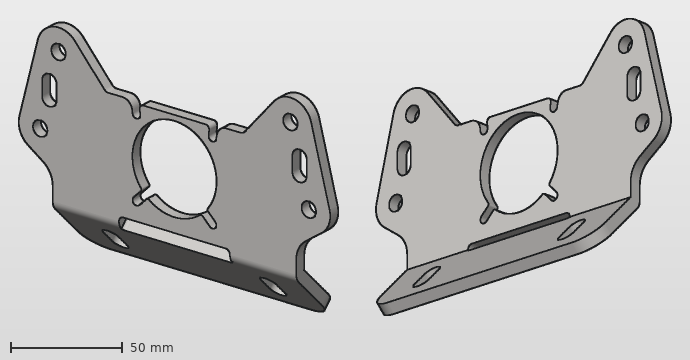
import cadquery as cq
import math

overall_width = 174.0
overall_height = 115.7
overall_depth = 31.8
thickness = 6.1
bend_angle = 45.0

ear_radius = 12.0
ear_hole_diameter = 8.0
upper_hole_x = 64.7
upper_hole_z = 40.0
lower_hole_x = overall_width / 2 - ear_radius
lower_hole_z = 0.0
ear_slot_length = 16.0
inner_slope_angle = 49.5
lower_slope_angle = 35.0
inner_slope_fillet = 3.0
neck_fillet = 12.5

body_half_width = 68.0
shoulder_z = 27.5
tab_z = 26.5
bore_radius = 23.5

mount_offset = 21.2
mount_slot_width = 4.3
notch_tilt = 7.0
shoulder_fillet = 5.4
tab_fillet = 2.1
bore_slot_fillet = 1.0

sin_bend = math.sin(math.radians(bend_angle))
cos_bend = math.cos(math.radians(bend_angle))
flange_length = (overall_depth - thickness) / sin_bend
bend_z = upper_hole_z + ear_radius - overall_height + flange_length * cos_bend + thickness * sin_bend
flange_corner_radius = 12.0
flange_slot_x = 44.0
flange_slot_width = 8.5
flange_slot_length = 18.1
flange_slot_distance = 18.5

relief_half_width = 31.0
relief_corner = 2.5
relief_top = 2.5
relief_flange_depth = 1.0

plate_plane = cq.Plane(origin=(0, 0, 0), xDir=(1, 0, 0), normal=(0, -1, 0))
flange_plane = cq.Plane(
    origin=(0, thickness, bend_z), xDir=(1, 0, 0), normal=(0, -cos_bend, -sin_bend)
)


def on_circle(center_x, center_z, radius, degrees):
    angle = math.radians(degrees)
    return center_x + radius * math.cos(angle), center_z + radius * math.sin(angle)


def make_plate():
    """Flat plate with two ears, mirrored about X = 0."""
    hole_line_angle = math.degrees(math.atan2(upper_hole_z - lower_hole_z, upper_hole_x - lower_hole_x))
    side_normal = hole_line_angle - 90
    lower_normal = lower_slope_angle - 90
    inner_normal = 90 + inner_slope_angle

    def upper(degrees):
        return on_circle(upper_hole_x, upper_hole_z, ear_radius, degrees)

    def lower(degrees):
        return on_circle(lower_hole_x, lower_hole_z, ear_radius, degrees)

    neck_start = lower(lower_normal)
    neck_z = neck_start[1] - (neck_start[0] - body_half_width) * math.tan(math.radians(lower_slope_angle))
    slope_end = upper(inner_normal)
    shoulder_x = slope_end[0] - (slope_end[1] - shoulder_z) / math.tan(math.radians(inner_slope_angle))

    half = (
        cq.Workplane(plate_plane)
        .moveTo(0, bend_z)
        .lineTo(body_half_width, bend_z)
        .lineTo(body_half_width, neck_z)
        .lineTo(*neck_start)
        .threePointArc(lower((lower_normal + side_normal) / 2), lower(side_normal))
        .lineTo(*upper(side_normal))
        .threePointArc(upper((side_normal + inner_normal) / 2), slope_end)
        .lineTo(shoulder_x, shoulder_z)
        .lineTo(0, shoulder_z)
        .close()
        .extrude(-thickness)
    )
    half = fillet_corner(half, body_half_width, neck_z, neck_fillet)
    half = fillet_corner(half, shoulder_x, shoulder_z, inner_slope_fillet)
    return half.union(half.mirror("YZ"))


def fillet_corner(body, x, z, radius):
    """Round the through-thickness edge that passes through (x, z)."""
    edge = cq.selectors.NearestToPointSelector((x, thickness / 2, z))
    return body.edges("|Y").edges(edge).fillet(radius)


def make_bend():
    """Wedge of the bend, turning about the inner corner of the sheet."""
    mid_angle = math.radians(bend_angle / 2)
    return (
        cq.Workplane("YZ", origin=(-body_half_width, 0, 0))
        .moveTo(thickness, bend_z)
        .lineTo(0, bend_z)
        .threePointArc(
            (thickness * (1 - math.cos(mid_angle)), bend_z - thickness * math.sin(mid_angle)),
            (thickness * (1 - cos_bend), bend_z - thickness * sin_bend),
        )
        .close()
        .extrude(2 * body_half_width)
    )


def make_flange():
    """Sloping flange with rounded lower corners and two slots."""
    flange = (
        cq.Workplane(flange_plane)
        .center(0, -flange_length / 2)
        .rect(2 * body_half_width, flange_length)
        .extrude(thickness)
    )
    for side in (-1, 1):
        corner = flange_plane.toWorldCoords((side * body_half_width, -flange_length, thickness / 2))
        edge = cq.selectors.NearestToPointSelector(corner.toTuple())
        flange = flange.edges(edge).fillet(flange_corner_radius)
    slots = (
        cq.Workplane(flange_plane)
        .pushPoints([(side * flange_slot_x, -flange_slot_distance) for side in (-1, 1)])
        .slot2D(flange_slot_length, flange_slot_width, 90)
        .extrude(thickness)
    )
    return flange.cut(slots)


def relief_end(plane, depth, start):
    """Outline of one end of the relief slot: closes at the signed depth with rounded corners."""
    straight = relief_half_width - relief_corner
    blend = math.sqrt(0.5)
    arc_x = straight + relief_corner * blend
    return (
        cq.Workplane(plane)
        .moveTo(-relief_half_width, start)
        .threePointArc((-arc_x, start + depth * blend), (-straight, start + depth))
        .lineTo(straight, start + depth)
        .threePointArc((arc_x, start + depth * blend), (relief_half_width, start))
        .close()
    )


def cut_ear_holes(plate):
    slot_x = (upper_hole_x + lower_hole_x) / 2
    slot_z = (upper_hole_z + lower_hole_z) / 2
    for side in (-1, 1):
        holes = (
            cq.Workplane(plate_plane)
            .pushPoints([(side * upper_hole_x, upper_hole_z), (side * lower_hole_x, lower_hole_z)])
            .circle(ear_hole_diameter / 2)
            .extrude(-thickness)
        )
        slot = (
            cq.Workplane(plate_plane)
            .center(side * slot_x, slot_z)
            .slot2D(ear_slot_length, ear_hole_diameter, 90)
            .extrude(-thickness)
        )
        plate = plate.cut(holes).cut(slot)
    return plate


def cut_bore(plate):
    """Bore with two diagonal slots running into it from below."""
    opening = cq.Workplane(plate_plane).circle(bore_radius).extrude(-thickness)
    slot_reach = math.hypot(mount_offset, mount_offset)
    for side in (-1, 1):
        slot = (
            cq.Workplane(plate_plane)
            .center(side * mount_offset / 2, -mount_offset / 2)
            .slot2D(slot_reach + mount_slot_width, mount_slot_width, -45 * side)
            .extrude(-thickness)
        )
        opening = opening.union(slot)
    plate = plate.cut(opening)
    along = math.sqrt(bore_radius**2 - (mount_slot_width / 2) ** 2)
    for side in (-1, 1):
        for edge_side in (-1, 1):
            across = edge_side * mount_slot_width / 2
            x = side * (along + across) / math.sqrt(2)
            z = (across - along) / math.sqrt(2)
            plate = fillet_corner(plate, x, z, bore_slot_fillet)
    return plate


def cut_top_notches(plate):
    """Round-bottomed notches, leaning outwards, either side of a slightly lowered tab."""
    radius = mount_slot_width / 2
    tilt = math.radians(notch_tilt)
    inner = on_circle(mount_offset, mount_offset, radius, 180 - notch_tilt)
    bottom = on_circle(mount_offset, mount_offset, radius, -90 - notch_tilt)
    outer = on_circle(mount_offset, mount_offset, radius, -notch_tilt)

    def wall_x(start, z):
        return start[0] + (z - start[1]) * math.tan(tilt)

    recess = (
        cq.Workplane(plate_plane)
        .center(0, (tab_z + shoulder_z) / 2)
        .rect(2 * mount_offset, shoulder_z - tab_z)
        .extrude(-thickness)
    )
    notch = (
        cq.Workplane(plate_plane)
        .moveTo(wall_x(inner, shoulder_z), shoulder_z)
        .lineTo(*inner)
        .threePointArc(bottom, outer)
        .lineTo(wall_x(outer, shoulder_z), shoulder_z)
        .close()
        .extrude(-thickness)
    )
    plate = plate.cut(recess).cut(notch).cut(notch.mirror("YZ"))
    for side in (-1, 1):
        plate = fillet_corner(plate, side * wall_x(outer, shoulder_z), shoulder_z, shoulder_fillet)
        plate = fillet_corner(plate, side * wall_x(inner, tab_z), tab_z, tab_fillet)
    return plate


def cut_relief(plate, bend, flange):
    """Long slot across the bend, shared by the plate, the bend and the flange."""
    plate = plate.cut(relief_end(plate_plane, relief_top, bend_z).extrude(-thickness))
    flange = flange.cut(relief_end(flange_plane, -relief_flange_depth, 0).extrude(thickness))
    bend_cutter = cq.Workplane("XY", origin=(0, 0, bend_z)).box(
        2 * relief_half_width, 2 * thickness, 2 * thickness
    )
    return plate, bend.cut(bend_cutter), flange


plate = cut_top_notches(cut_bore(cut_ear_holes(make_plate())))
plate, bend, flange = cut_relief(plate, make_bend(), make_flange())
result = plate.union(bend).union(flange)